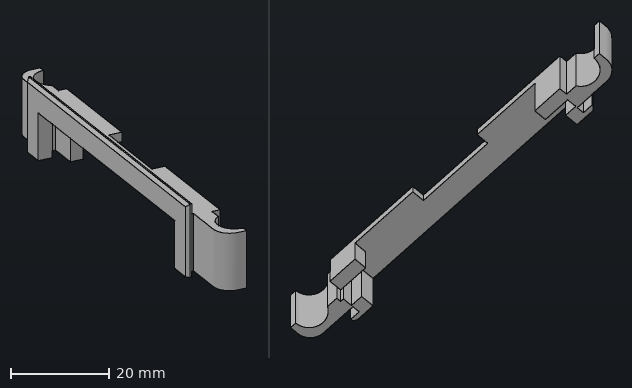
import cadquery as cq

length = 90.8
depth = 8.5
height = 16.4
body_height = 12.9

half_length = length / 2
pad_half_width = 33.8
recess_half_width = 9.4
recess_depth = 3.0
neck_half_width = 33.0
body_depth = 5.7

hook_radius = 3.7
tip_width = 1.5
bowl_radius = 3.9
bowl_centre_x = half_length - tip_width - bowl_radius
shoulder_depth = 1.9

frame_half_width = 35.5
frame_thickness = 1.1
frame_bevel = 0.7
frame_back = -(depth - frame_thickness)

opening_height = 10.7
frame_opening_half_width = 30.0
body_opening_half_width = 26.4
slot_front = -5.3
tab_bottom = 4.45


def block(x_min, x_max, y_min, y_max, z_min, z_max):
    """Box given by its limits along each axis."""
    size = (x_max - x_min, y_max - y_min, z_max - z_min)
    return cq.Workplane("XY").box(*size, centered=False).translate((x_min, y_min, z_min))


def make_body():
    """Full-height body with rounded hooks at both ends and a recess in its back."""
    body = block(-half_length, half_length, -body_depth, 0, 0, body_height)
    body = body.edges("|Z and <Y").fillet(hook_radius)
    for side in (-1, 1):
        x_inner, x_outer = sorted((side * pad_half_width, side * bowl_centre_x))
        body = body.cut(block(x_inner, x_outer, -shoulder_depth, 0, 0, body_height))
        bowl = cq.Workplane("XY").center(side * bowl_centre_x, 0).circle(bowl_radius)
        body = body.cut(bowl.extrude(body_height))
    recess = block(-recess_half_width, recess_half_width, -recess_depth, 0, 0, body_height)
    neck = block(-neck_half_width, neck_half_width, frame_back, -body_depth, 0, body_height)
    return body.cut(recess).union(neck)


def cut_openings(body):
    """Open the body below the bar, leaving a slotted leg at each end."""
    body = body.cut(
        block(-body_opening_half_width, body_opening_half_width, -depth, 0, 0, opening_height)
    )
    body = body.cut(
        block(-frame_opening_half_width, frame_opening_half_width, -depth, slot_front, 0, opening_height)
    )
    body = body.cut(
        block(-neck_half_width, neck_half_width, slot_front, -recess_depth, 0, opening_height)
    )
    return body.cut(
        block(body_opening_half_width, pad_half_width, -recess_depth, 0, 0, tab_bottom)
    )


def make_frame():
    """Thin front frame, bevelled along the front of its top and outer sides."""
    frame = block(-frame_half_width, frame_half_width, -depth, frame_back, 0, height)
    front_edges = frame.faces("<Y").edges("|Z or >Z")
    frame = front_edges.chamfer(frame_bevel)
    opening = block(
        -frame_opening_half_width, frame_opening_half_width, -depth, frame_back, 0, opening_height
    )
    return frame.cut(opening)


result = cut_openings(make_body()).union(make_frame())